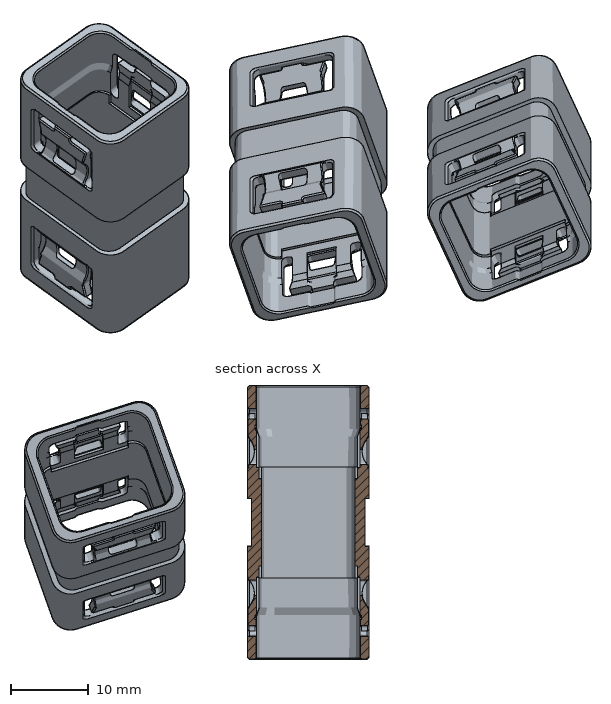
import cadquery as cq

COLLAR_X = 17.9
COLLAR_Y = 15.7
COLLAR_RADIUS = 2.5
TOTAL_HEIGHT = 35.3
WAIST_X = 16.4
WAIST_Y = 14.74
WAIST_RADIUS = 2.0
WAIST_HEIGHT = 6.1
RIM_CHAMFER = 0.25

MOUTH_X = 15.0
MOUTH_Y = 13.3
MOUTH_RADIUS = 2.3
MOUTH_DEPTH = 5.68
MOUTH_CHAMFER = 0.2
STEP_X = 14.5
STEP_Y = 12.66
STEP_RADIUS = 2.0
STEP_DEPTH = 10.5
STEP_LEAD_IN = 0.95
BORE_X = 14.2
BORE_Y = 12.0
BORE_RADIUS = 1.8

RELIEF_HALF = 5.25
RELIEF_DEPTH = 12.0

GROOVE_DEPTH = 0.2
GROOVE_RIM_CHAMFER = 0.12
GROOVE_FLOOR_HALF = 1.45
GROOVE_MOUTH_HALF = 1.95
GROOVE_SIDE_WIDTH = GROOVE_MOUTH_HALF - GROOVE_FLOOR_HALF
GROOVE_SIDE_RADIUS = (GROOVE_SIDE_WIDTH**2 + GROOVE_DEPTH**2) / (4 * GROOVE_DEPTH)
GROOVE_FLOOR_END = 5.15
GROOVE_RAMP_RISE = 0.05
CHANNEL_TOP = 5.85

WINDOW_X = 10.64
WINDOW_FLARE_X = 11.24
WINDOW_TOP = 3.0
WINDOW_BOTTOM = 10.55
WINDOW_TOP_RADIUS = 0.9
WINDOW_BOTTOM_RADIUS = 0.65
FLARE_DEPTH = 0.3
FLARE_Z = 0.07

ARM_HALF = 3.9
ROOT_TOP = 10.4
SCOOP_TOP = 7.0
SCOOP_BULGE = 0.72
HEAD_RECESS = 0.05
HEAD_TOP = 4.3
HEAD_TOP_HALF = 4.42
ROOT_RADIUS = HEAD_TOP_HALF - ARM_HALF
HEAD_FACE_BOTTOM = 6.27
HEAD_LIP_BOTTOM = 6.77
HEAD_LIP_ROUND = 0.15
HEAD_LIP_INSET = 0.3
HEAD_EDGE_CHAMFER = 0.18
ARM_EDGE_CHAMFER = 0.15
TAB_TOP = 3.65
TAB_HALF = 1.45
TAB_FILLET = 0.3
HEAD_CORNER_FILLET = 0.2

OPENING_TOP = 7.26
OPENING_BOTTOM = 10.25
OPENING_TOP_HALF = 1.6
OPENING_BOTTOM_HALF = 1.97
OPENING_FILLET = 0.4

RIM_Z = TOTAL_HEIGHT / 2
OUTER_Y = COLLAR_Y / 2
CUT_MARGIN = 1.0
SELECT_TOLERANCE = 0.05


def at_depth(depth):
    """Height of a point lying the given depth below the upper rim."""
    return RIM_Z - depth


def rounded_block(size_x, size_y, radius, z_bottom, z_top):
    """Rectangular block with rounded vertical edges."""
    outline = cq.Workplane("XY").workplane(offset=z_bottom).rect(size_x, size_y)
    block = outline.extrude(z_top - z_bottom)
    return block.edges("|Z").fillet(radius)


def upper_body():
    """Upper half of the sleeve with its stepped bore."""
    waist_top = WAIST_HEIGHT / 2
    collar = rounded_block(COLLAR_X, COLLAR_Y, COLLAR_RADIUS, waist_top, RIM_Z)
    collar = collar.faces(">Z").edges().chamfer(RIM_CHAMFER)
    body = collar.union(rounded_block(WAIST_X, WAIST_Y, WAIST_RADIUS, 0, waist_top + CUT_MARGIN))
    bore = rounded_block(BORE_X, BORE_Y, BORE_RADIUS, 0, RIM_Z)
    step = rounded_block(STEP_X, STEP_Y, STEP_RADIUS, at_depth(STEP_DEPTH), RIM_Z)
    mouth = rounded_block(MOUTH_X, MOUTH_Y, MOUTH_RADIUS, at_depth(MOUTH_DEPTH), RIM_Z)
    return body.cut(bore).cut(step).cut(mouth).cut(lead_in()).cut(reliefs())


def reliefs():
    """Slab-shaped relief reaching both latch walls, flush with the intermediate step."""
    slab = cq.Workplane("XY").workplane(offset=at_depth(RELIEF_DEPTH)).rect(2 * RELIEF_HALF, STEP_Y)
    return slab.extrude(RELIEF_DEPTH - MOUTH_DEPTH - STEP_LEAD_IN)


def section_sketch(size_x, size_y, radius, z):
    """Rounded rectangle at height z, used as a loft section."""
    sketch = cq.Sketch().rect(size_x, size_y).vertices().fillet(radius)
    return sketch.moved(cq.Location(cq.Vector(0, 0, z)))


def lead_in():
    """Sloping transition from the mouth down to the intermediate step."""
    upper = section_sketch(MOUTH_X, MOUTH_Y, MOUTH_RADIUS, at_depth(MOUTH_DEPTH))
    lower = section_sketch(STEP_X, STEP_Y, STEP_RADIUS, at_depth(MOUTH_DEPTH + STEP_LEAD_IN))
    return cq.Workplane("XY").placeSketch(lower, upper).loft()


def groove():
    """Guide groove: S-shaped sides in the mouth, a short ramp, then a channel down the arm."""
    wall = -MOUTH_Y / 2
    floor = wall - GROOVE_DEPTH
    side_mid = GROOVE_FLOOR_HALF + GROOVE_SIDE_WIDTH / 2
    guide = (
        cq.Workplane("XY")
        .workplane(offset=at_depth(GROOVE_FLOOR_END))
        .moveTo(-GROOVE_MOUTH_HALF, wall)
        .radiusArc((-side_mid, wall - GROOVE_DEPTH / 2), GROOVE_SIDE_RADIUS)
        .radiusArc((-GROOVE_FLOOR_HALF, floor), -GROOVE_SIDE_RADIUS)
        .lineTo(GROOVE_FLOOR_HALF, floor)
        .radiusArc((side_mid, wall - GROOVE_DEPTH / 2), -GROOVE_SIDE_RADIUS)
        .radiusArc((GROOVE_MOUTH_HALF, wall), GROOVE_SIDE_RADIUS)
        .close()
        .extrude(GROOVE_FLOOR_END)
    )
    ramp_end = floor + GROOVE_RAMP_RISE
    ramp = (
        cq.Workplane("YZ")
        .workplane(offset=-GROOVE_MOUTH_HALF)
        .moveTo(wall, at_depth(GROOVE_FLOOR_END))
        .lineTo(floor, at_depth(GROOVE_FLOOR_END))
        .lineTo(ramp_end, at_depth(MOUTH_DEPTH))
        .lineTo(wall, at_depth(MOUTH_DEPTH))
        .close()
        .extrude(2 * GROOVE_MOUTH_HALF)
    )
    channel = (
        cq.Workplane("YZ")
        .workplane(offset=-GROOVE_MOUTH_HALF)
        .moveTo(-STEP_Y / 2, at_depth(MOUTH_DEPTH))
        .lineTo(ramp_end, at_depth(MOUTH_DEPTH))
        .lineTo(wall, at_depth(CHANNEL_TOP))
        .lineTo(wall, at_depth(WINDOW_BOTTOM))
        .lineTo(-STEP_Y / 2, at_depth(WINDOW_BOTTOM))
        .close()
        .extrude(2 * GROOVE_MOUTH_HALF)
    )
    rim_chamfer = (
        cq.Workplane("YZ")
        .workplane(offset=-GROOVE_FLOOR_HALF)
        .moveTo(floor, RIM_Z)
        .lineTo(floor - GROOVE_RIM_CHAMFER, RIM_Z)
        .lineTo(floor, at_depth(GROOVE_RIM_CHAMFER))
        .close()
        .extrude(2 * GROOVE_FLOOR_HALF)
    )
    return guide.union(ramp).union(channel).union(rim_chamfer)


def window_sketch(width, z_growth, y):
    """Rounded window outline at a distance y from the mid-plane, toward -Y."""
    height = WINDOW_BOTTOM - WINDOW_TOP + 2 * z_growth
    sketch = cq.Sketch().rect(width, height)
    sketch = sketch.vertices(">Y").fillet(WINDOW_TOP_RADIUS)
    sketch = sketch.reset().vertices("<Y").fillet(WINDOW_BOTTOM_RADIUS).reset()
    return sketch.moved(cq.Location(cq.Vector(0, at_depth((WINDOW_TOP + WINDOW_BOTTOM) / 2), y)))


def window():
    """Window through the -Y wall, flared at the outer face."""
    inner_y = BORE_Y / 2 - CUT_MARGIN
    flare_y = OUTER_Y - FLARE_DEPTH
    inner_outline = window_sketch(WINDOW_X, 0, inner_y)
    straight = cq.Workplane("XZ").placeSketch(inner_outline).extrude(OUTER_Y - inner_y)
    flare = (
        cq.Workplane("XZ")
        .placeSketch(window_sketch(WINDOW_X, 0, flare_y), window_sketch(WINDOW_FLARE_X, FLARE_Z, OUTER_Y))
        .loft()
    )
    return straight.union(flare)


def latch_profile():
    """Side section of arm, scoop and head, extruded across the full latch width."""
    inner = -STEP_Y / 2
    upper_inner = -MOUTH_Y / 2
    face = -OUTER_Y + HEAD_RECESS
    lip = face + HEAD_LIP_INSET
    chord_mid = (-OUTER_Y + lip) / 2
    return (
        cq.Workplane("YZ")
        .workplane(offset=-HEAD_TOP_HALF)
        .moveTo(inner, at_depth(WINDOW_BOTTOM))
        .lineTo(-OUTER_Y, at_depth(WINDOW_BOTTOM))
        .lineTo(-OUTER_Y, at_depth(ROOT_TOP))
        .threePointArc(
            (chord_mid + SCOOP_BULGE, at_depth((ROOT_TOP + SCOOP_TOP) / 2)),
            (lip, at_depth(SCOOP_TOP)),
        )
        .lineTo(face + HEAD_LIP_ROUND, at_depth(HEAD_LIP_BOTTOM))
        .threePointArc(
            (face + HEAD_LIP_ROUND / 4, at_depth((HEAD_FACE_BOTTOM + HEAD_LIP_BOTTOM) / 2)),
            (face, at_depth(HEAD_FACE_BOTTOM)),
        )
        .lineTo(face, at_depth(TAB_TOP))
        .lineTo(upper_inner, at_depth(TAB_TOP))
        .lineTo(upper_inner, at_depth(MOUTH_DEPTH))
        .lineTo(inner, at_depth(MOUTH_DEPTH + STEP_LEAD_IN))
        .close()
        .extrude(2 * HEAD_TOP_HALF)
    )


def shoulder_edges(half_width):
    """Selector for the pair of edges along Y lying half_width either side of centre at the head top."""
    reach = half_width + SELECT_TOLERANCE
    tip = cq.selectors.BoxSelector(
        (-reach, -OUTER_Y, at_depth(HEAD_TOP) - SELECT_TOLERANCE),
        (reach, 0, at_depth(HEAD_TOP) + SELECT_TOLERANCE),
    )
    inside = half_width - SELECT_TOLERANCE
    core = cq.selectors.BoxSelector((-inside, -OUTER_Y, 0), (inside, 0, RIM_Z))
    return cq.selectors.ParallelDirSelector(cq.Vector(0, 1, 0)) & tip - core


def latch_front():
    """Front outline of the latch: straight arm, flared head and centre tab."""
    block = (
        cq.Workplane("XZ")
        .workplane(offset=BORE_Y / 2)
        .moveTo(-HEAD_TOP_HALF, at_depth(WINDOW_BOTTOM))
        .radiusArc((-ARM_HALF, at_depth(WINDOW_BOTTOM - ROOT_RADIUS)), -ROOT_RADIUS)
        .lineTo(-ARM_HALF, at_depth(HEAD_FACE_BOTTOM))
        .lineTo(-HEAD_TOP_HALF, at_depth(HEAD_TOP))
        .lineTo(-TAB_HALF, at_depth(HEAD_TOP))
        .lineTo(-TAB_HALF, at_depth(TAB_TOP))
        .lineTo(TAB_HALF, at_depth(TAB_TOP))
        .lineTo(TAB_HALF, at_depth(HEAD_TOP))
        .lineTo(HEAD_TOP_HALF, at_depth(HEAD_TOP))
        .lineTo(ARM_HALF, at_depth(HEAD_FACE_BOTTOM))
        .lineTo(ARM_HALF, at_depth(WINDOW_BOTTOM - ROOT_RADIUS))
        .radiusArc((HEAD_TOP_HALF, at_depth(WINDOW_BOTTOM)), -ROOT_RADIUS)
        .close()
        .extrude(OUTER_Y - BORE_Y / 2)
    )
    block = block.edges(shoulder_edges(TAB_HALF)).fillet(TAB_FILLET)
    return block.edges(shoulder_edges(HEAD_TOP_HALF)).fillet(HEAD_CORNER_FILLET)


def arm_opening():
    """Tapered hole through the arm."""
    opening = (
        cq.Workplane("XZ")
        .moveTo(-OPENING_BOTTOM_HALF, at_depth(OPENING_BOTTOM))
        .lineTo(-OPENING_TOP_HALF, at_depth(OPENING_TOP))
        .lineTo(OPENING_TOP_HALF, at_depth(OPENING_TOP))
        .lineTo(OPENING_BOTTOM_HALF, at_depth(OPENING_BOTTOM))
        .close()
        .extrude(OUTER_Y)
    )
    return opening.edges("|Y").fillet(OPENING_FILLET)


def latch():
    """Finished latch: profile and front outline combined, edges broken, opening cut."""
    solid = latch_profile().intersect(latch_front())
    head_face = cq.selectors.BoxSelector(
        (-COLLAR_X, -OUTER_Y, at_depth(HEAD_FACE_BOTTOM)),
        (COLLAR_X, -OUTER_Y + HEAD_RECESS + SELECT_TOLERANCE, RIM_Z),
    )
    solid = solid.faces(head_face).edges("not <Z").chamfer(HEAD_EDGE_CHAMFER)
    scoop_reach = ARM_HALF + SELECT_TOLERANCE
    scoop_sides = cq.selectors.BoxSelector(
        (-scoop_reach, -OUTER_Y, at_depth(ROOT_TOP)),
        (scoop_reach, -MOUTH_Y / 2 - SELECT_TOLERANCE, at_depth(SCOOP_TOP)),
    )
    solid = solid.edges("%CIRCLE").edges(scoop_sides).chamfer(ARM_EDGE_CHAMFER)
    return solid.cut(arm_opening())


def mouth_chamfer():
    """Chamfer around the mouth at the rim."""
    lower = section_sketch(MOUTH_X, MOUTH_Y, MOUTH_RADIUS, at_depth(MOUTH_CHAMFER))
    upper = section_sketch(
        MOUTH_X + 2 * MOUTH_CHAMFER, MOUTH_Y + 2 * MOUTH_CHAMFER, MOUTH_RADIUS + MOUTH_CHAMFER, RIM_Z
    )
    return cq.Workplane("XY").placeSketch(lower, upper).loft()


def both_walls(feature):
    """A feature of the -Y wall together with its mirror image in the +Y wall."""
    return feature.union(feature.mirror("XZ"))


upper_half = upper_body().cut(mouth_chamfer())
upper_half = upper_half.cut(both_walls(window()))
upper_half = upper_half.union(both_walls(latch()))
upper_half = upper_half.cut(both_walls(groove()))

result = upper_half.union(upper_half.mirror("XY"))